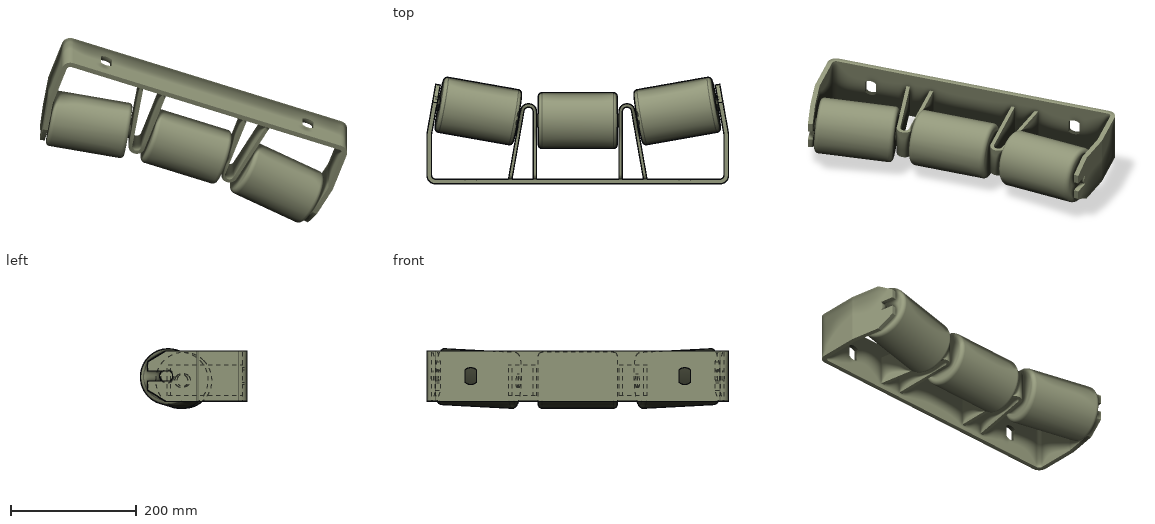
import cadquery as cq
import math

length = 480.0
strip_height = 80.0
strip_thickness = 7.5
bend_radius = 14.0
fold_height = 78.0
lean = 10.0
tab_length = 79.0
tab_chamfer_length = 29.0
tab_chamfer_height = 17.5

hole_spacing = 340.5
hole_diameter = 27.0
hole_width = 18.0

bracket_thickness = 6.0
bracket_strap_height = 49.0
bracket_inner_face = 65.5
arch_radius = 13.0
arch_height = 114.5

roller_diameter = 89.5
roller_length = 126.0
roller_fillet = 6.0
axle_diameter = 21.0
axle_flat_width = 16.0
seat_depth = 30.0
tab_gap = 4.0
leg_gap = 3.1
roller_tilt = 3.0
middle_roller_height = 101.0
middle_roller_drop = 6.5

half_length = length / 2
lean_cos = math.cos(math.radians(lean))
lean_sin = math.sin(math.radians(lean))


def polar(center, radius, angle):
    """Point at a radius and an angle in degrees around a centre."""
    turn = math.radians(angle)
    return (center[0] + radius * math.cos(turn), center[1] + radius * math.sin(turn))


def along_lean(point, distance):
    """Point moved up along the right-hand leaning tab."""
    return (point[0] - distance * lean_sin, point[1] + distance * lean_cos)


def mirror_pair(body):
    """A right-hand shape together with its left-hand mirror image."""
    return body.union(body.mirror("YZ"))


fold_center = (half_length - bend_radius, fold_height)
fold_end = polar(fold_center, bend_radius, lean)
tab_tip = along_lean(fold_end, tab_length)
axle_seat = along_lean(tab_tip, -seat_depth)

tab_plane = cq.Plane(
    origin=(axle_seat[0], axle_seat[1], 0),
    xDir=(-lean_sin, lean_cos, 0),
    normal=(lean_cos, lean_sin, 0),
)


def flatted_disc(plane, diameter, width, depth):
    """Disc with flats parallel to the plane's x axis, going down from the plane."""
    disc = cq.Workplane(plane).circle(diameter / 2).extrude(-depth)
    return disc.intersect(cq.Workplane(plane).rect(2 * diameter, width).extrude(-depth))


def make_strip():
    """Back wall, end walls and leaning tabs, before any cutting."""
    corner = (half_length - bend_radius, bend_radius)
    inner_radius = bend_radius - strip_thickness
    half = (
        cq.Workplane("XY")
        .moveTo(0, 0)
        .lineTo(corner[0], 0)
        .threePointArc(polar(corner, bend_radius, -45), (half_length, bend_radius))
        .lineTo(half_length, fold_height)
        .threePointArc(polar(fold_center, bend_radius, lean / 2), fold_end)
        .lineTo(*tab_tip)
        .lineTo(*polar(tab_tip, -strip_thickness, lean))
        .lineTo(*polar(fold_center, inner_radius, lean))
        .threePointArc(
            polar(fold_center, inner_radius, lean / 2), polar(fold_center, inner_radius, 0)
        )
        .lineTo(half_length - strip_thickness, bend_radius)
        .threePointArc(polar(corner, inner_radius, -45), polar(corner, inner_radius, -90))
        .lineTo(0, strip_thickness)
        .close()
        .extrude(strip_height / 2, both=True)
    )
    return mirror_pair(half)


def make_brackets():
    """The two folded straps between the rollers."""
    arch_center = (bracket_inner_face + arch_radius, arch_height)
    inner_radius = arch_radius - bracket_thickness
    arch_middle = (180 + lean) / 2

    def leg_foot(top):
        drop = top[1] - strip_thickness
        return (top[0] + drop * lean_sin / lean_cos, strip_thickness)

    outer_top = polar(arch_center, arch_radius, lean)
    inner_top = polar(arch_center, inner_radius, lean)
    bracket = (
        cq.Workplane("XY", origin=(0, 0, -middle_roller_drop))
        .moveTo(bracket_inner_face, strip_thickness)
        .lineTo(bracket_inner_face, arch_height)
        .threePointArc(polar(arch_center, arch_radius, arch_middle), outer_top)
        .lineTo(*leg_foot(outer_top))
        .lineTo(*leg_foot(inner_top))
        .lineTo(*inner_top)
        .threePointArc(
            polar(arch_center, inner_radius, arch_middle), polar(arch_center, inner_radius, 180)
        )
        .lineTo(bracket_inner_face + bracket_thickness, strip_thickness)
        .close()
        .extrude(bracket_strap_height / 2, both=True)
    )
    return mirror_pair(bracket)


def make_tab_cuts():
    """Chamfered tab corners and the open slots for the side axles."""
    half_height = strip_height / 2
    tool = flatted_disc(tab_plane, axle_diameter, axle_flat_width, strip_thickness)
    tool = tool.union(
        cq.Workplane(tab_plane)
        .center(seat_depth / 2, 0)
        .rect(seat_depth, axle_flat_width)
        .extrude(-strip_thickness)
    )
    for side in (1, -1):
        tool = tool.union(
            cq.Workplane(tab_plane)
            .polyline(
                [
                    (seat_depth, side * half_height),
                    (seat_depth - tab_chamfer_length, side * half_height),
                    (seat_depth, side * (half_height - tab_chamfer_height)),
                ]
            )
            .close()
            .extrude(-strip_thickness)
        )
    return mirror_pair(tool)


def make_mounting_holes():
    """Upright holes with flat sides through the back wall."""
    plane = cq.Plane(origin=(hole_spacing / 2, 0, 0), xDir=(0, 0, 1), normal=(0, -1, 0))
    return mirror_pair(flatted_disc(plane, hole_diameter, hole_width, strip_thickness))


def make_roller(plane, axle_start, axle_end):
    """Roller standing on a plane at right angles to its axis, with the axle running through it."""
    drum = (
        cq.Workplane(plane)
        .circle(roller_diameter / 2)
        .extrude(roller_length)
        .edges()
        .fillet(roller_fillet)
    )
    axle = (
        cq.Workplane(plane)
        .workplane(offset=axle_start)
        .circle(axle_diameter / 2)
        .extrude(axle_end - axle_start)
    )
    return drum.union(axle)


def make_middle_roller():
    """Roller between the upright bracket legs, its axle ending on them."""
    drum_start = -roller_length / 2
    plane = cq.Plane(
        origin=(drum_start, middle_roller_height, -middle_roller_drop),
        xDir=(0, 0, 1),
        normal=(1, 0, 0),
    )
    return make_roller(
        plane, -bracket_inner_face - drum_start, bracket_inner_face - drum_start
    )


def make_side_roller(uncut_frame, left):
    """Tilted roller: its axle ends on the bracket leg and fills the slot of the tab."""
    tilt = math.radians(roller_tilt)
    inward = cq.Vector(-lean_cos * math.cos(tilt), -lean_sin * math.cos(tilt), -math.sin(tilt))
    start = tab_plane.origin + inward * (strip_thickness + tab_gap)
    plane = cq.Plane(origin=start, xDir=(-lean_sin, lean_cos, 0), normal=inward)
    axle_start = -tab_gap - strip_thickness / 2
    axle_end = roller_length + leg_gap + bracket_thickness / 2
    roller = make_roller(plane, axle_start, axle_end).cut(uncut_frame)
    tongue = flatted_disc(tab_plane, axle_diameter, axle_flat_width, strip_thickness)
    roller = roller.union(tongue)
    return roller.mirror("YZ") if left else roller


uncut_frame = make_strip().union(make_brackets())
frame = uncut_frame.cut(make_tab_cuts()).cut(make_mounting_holes()).union(make_middle_roller())

side_rollers = []
for left in (True, False):
    side_rollers.append(make_side_roller(uncut_frame, left))

result = cq.Compound.makeCompound([frame.val(), *[roller.val() for roller in side_rollers]])